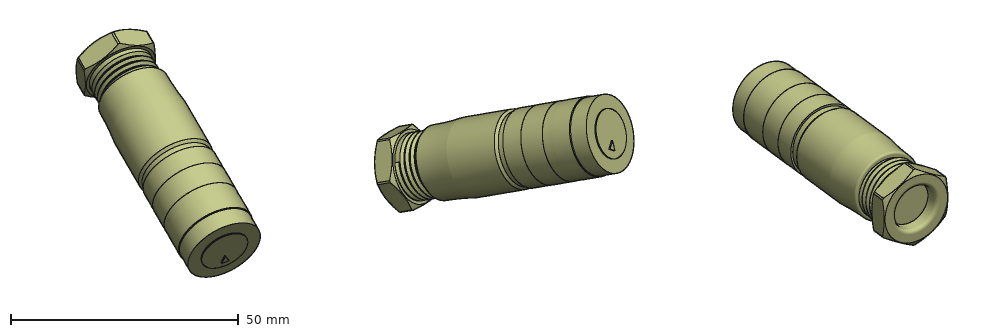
import cadquery as cq
import math

TOTAL_LENGTH = 58.75

NUT_LENGTH = 5.0
NUT_FLATS = 17.0
NUT_CORNERS = 19.3
NUT_FACE_DIAMETER = 16.7
NUT_CHAMFER_LENGTH = 0.75

ENTRY_DEPTH = 3.2
ENTRY_MOUTH_DIAMETER = 12.6
ENTRY_THROAT_DIAMETER = 10.8
ENTRY_FLOOR_DIAMETER = 10.6
ENTRY_ROUND = (ENTRY_MOUTH_DIAMETER - ENTRY_THROAT_DIAMETER) / 2

THREAD_DIAMETER = 15.2
THREAD_PITCH = 1.4
THREAD_DEPTH = 0.6
THREAD_START_X = 5.65
THREAD_START_ANGLE = -86.0
CUTTER_CLEARANCE = 0.03
CUTTER_WIDTH = 1.35

BARREL_START_X = 11.15
NOSE_DIAMETER = 16.9
NOSE_ROUND = 0.5
BARREL_DIAMETER = 18.0
FLARE_END_X = 20.2
BARREL_END_X = 33.15

GROOVE_DIAMETER = 16.9
GROOVE_START_X = 33.85
GROOVE_END_X = 35.4

GRIP_DIAMETER = 17.9
GRIP_END_X = 40.35
BAND_START_DIAMETER = 17.9
BAND_START_X = 46.25
BAND_END_X = 49.05
SLEEVE_END_X = 53.65

TAIL_DIAMETER = 17.6
TAIL_CHAMFER = (BARREL_DIAMETER - TAIL_DIAMETER) / 2
TAIL_END_X = 58.1

INSERT_DIAMETER = 11.2
INSERT_END_X = 58.4
ARROW_WIDTH = 1.75
ARROW_BASE_Z = -3.7
ARROW_TIP_Z = -1.6


def rod(diameter, start_x, end_x):
    """Round bar along X between two stations."""
    return cq.Workplane("YZ", origin=(start_x, 0, 0)).circle(diameter / 2).extrude(end_x - start_x)


def turn(profile):
    """Close a half profile in the XY plane and revolve it about the X axis."""
    return profile.close().revolve(360, (0, 0, 0), (1, 0, 0))


def make_nut():
    """Hexagon with corners on Z, turned corners and conical chamfers on both faces."""
    hexagon = (
        cq.Workplane("YZ")
        .polygon(6, NUT_FLATS / math.cos(math.pi / 6))
        .extrude(NUT_LENGTH)
        .rotate((0, 0, 0), (1, 0, 0), 90)
    )
    face_radius = NUT_FACE_DIAMETER / 2
    corner_radius = NUT_CORNERS / 2
    blank = turn(
        cq.Workplane("XY").polyline([
            (0, 0),
            (0, face_radius),
            (NUT_CHAMFER_LENGTH, corner_radius),
            (NUT_LENGTH - NUT_CHAMFER_LENGTH, corner_radius),
            (NUT_LENGTH, face_radius),
            (NUT_LENGTH, 0),
        ])
    )
    return hexagon.intersect(blank)


def make_cable_entry():
    """Blind cutter for the tapered cable entry with its rounded mouth."""
    return turn(
        cq.Workplane("XY")
        .moveTo(0, 0)
        .lineTo(ENTRY_DEPTH, 0)
        .lineTo(ENTRY_DEPTH, ENTRY_FLOOR_DIAMETER / 2)
        .lineTo(ENTRY_ROUND, ENTRY_THROAT_DIAMETER / 2)
        .tangentArcPoint((0, ENTRY_MOUTH_DIAMETER / 2), relative=False)
    )


def make_thread_groove():
    """Right-handed helical V cutter along X, reaching slightly outside the crest."""
    crest_radius = THREAD_DIAMETER / 2
    root_radius = crest_radius - THREAD_DEPTH
    outer_radius = crest_radius + CUTTER_CLEARANCE
    half_width = CUTTER_WIDTH / 2
    travel = BARREL_START_X - THREAD_START_X + THREAD_PITCH
    helix = cq.Wire.makeHelix(THREAD_PITCH, travel, root_radius)
    return (
        cq.Workplane("XZ")
        .polyline([(root_radius, 0), (outer_radius, half_width), (outer_radius, -half_width)])
        .close()
        .sweep(cq.Workplane(obj=helix), isFrenet=True)
        .rotate((0, 0, 0), (0, 1, 0), 90)
        .rotate((0, 0, 0), (1, 0, 0), THREAD_START_ANGLE)
        .translate((THREAD_START_X, 0, 0))
    )


def make_neck():
    """Round neck between nut and barrel with the thread cut into it."""
    blank = rod(THREAD_DIAMETER, NUT_LENGTH, BARREL_START_X)
    return blank.cut(make_thread_groove(), clean=False)


def make_body():
    """Barrel, groove, sleeve and tail ring turned as one profile."""
    nose_radius = NOSE_DIAMETER / 2
    barrel_radius = BARREL_DIAMETER / 2
    groove_radius = GROOVE_DIAMETER / 2
    grip_radius = GRIP_DIAMETER / 2
    tail_radius = TAIL_DIAMETER / 2
    return turn(
        cq.Workplane("XY")
        .moveTo(BARREL_START_X, 0)
        .lineTo(BARREL_START_X, nose_radius - NOSE_ROUND)
        .tangentArcPoint((BARREL_START_X + NOSE_ROUND, nose_radius), relative=False)
        .tangentArcPoint((FLARE_END_X, barrel_radius), relative=False)
        .lineTo(BARREL_END_X, barrel_radius)
        .lineTo(GROOVE_START_X, groove_radius)
        .lineTo(GROOVE_END_X, groove_radius)
        .lineTo(GROOVE_END_X, grip_radius)
        .lineTo(GRIP_END_X, grip_radius)
        .lineTo(GRIP_END_X, barrel_radius)
        .lineTo(BAND_START_X, barrel_radius)
        .lineTo(BAND_START_X, BAND_START_DIAMETER / 2)
        .lineTo(BAND_END_X, barrel_radius)
        .lineTo(SLEEVE_END_X, barrel_radius)
        .lineTo(SLEEVE_END_X + TAIL_CHAMFER, tail_radius)
        .lineTo(TAIL_END_X, tail_radius)
        .lineTo(TAIL_END_X, 0)
    )


def make_arrow():
    """Raised triangle on the contact insert, pointing up."""
    half_width = ARROW_WIDTH / 2
    return (
        cq.Workplane("YZ", origin=(INSERT_END_X, 0, 0))
        .polyline([(-half_width, ARROW_BASE_Z), (half_width, ARROW_BASE_Z), (0, ARROW_TIP_Z)])
        .close()
        .extrude(TOTAL_LENGTH - INSERT_END_X)
    )


result = make_nut().cut(make_cable_entry())
for section in (
    make_neck(),
    make_body(),
    rod(INSERT_DIAMETER, TAIL_END_X, INSERT_END_X),
    make_arrow(),
):
    result = result.union(section, clean=False)